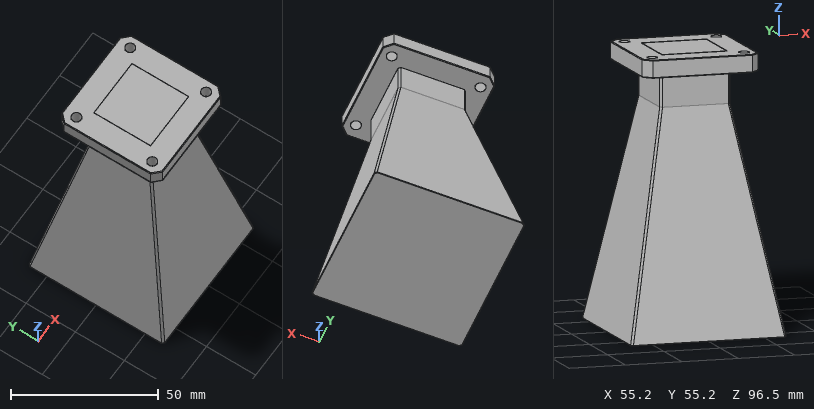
import cadquery as cq

total_height = 96.5
mouth_width = 55.2
mouth_bevel = 0.2
neck_width = 24.9
neck_base_z = 78.6
horn_corner = 0.8
flange_width = 41.1
flange_thickness = 6.3
flange_corner = 2.9
flange_edge_bevel = 0.3
hole_diameter = 3.7
hole_spacing_x = 32.6
hole_spacing_y = 30.9
window_width = 23.1
window_depth = 0.1

flange_base_z = total_height - flange_thickness


def clipped_square(width, corner):
    """Corner points of a centred square whose corners are cut at 45 degrees."""
    outer = width / 2
    inner = outer - corner
    return [
        (outer, -inner), (outer, inner), (inner, outer), (-inner, outer),
        (-outer, inner), (-outer, -inner), (-inner, -outer), (inner, -outer),
    ]


def tapered_section(base_z, base_width, top_z, top_width):
    """Join two clipped squares with flat sloping faces."""
    return (
        cq.Workplane("XY").workplane(offset=base_z)
        .polyline(clipped_square(base_width, horn_corner)).close()
        .workplane(offset=top_z - base_z)
        .polyline(clipped_square(top_width, horn_corner)).close()
        .loft(ruled=True)
    )


def make_horn():
    """Flared horn with a small bevel around its mouth."""
    bevel = tapered_section(0, mouth_width - 2 * mouth_bevel, mouth_bevel, mouth_width)
    flare = tapered_section(mouth_bevel, mouth_width, neck_base_z, neck_width)
    return bevel.union(flare)


def make_neck():
    """Straight square neck between the horn and the flange."""
    return (
        cq.Workplane("XY").workplane(offset=neck_base_z)
        .polyline(clipped_square(neck_width, horn_corner)).close()
        .extrude(flange_base_z - neck_base_z)
    )


def make_flange():
    """Bolting flange with bevelled rims, four through holes and a shallow window."""
    plate = (
        cq.Workplane("XY").workplane(offset=flange_base_z)
        .polyline(clipped_square(flange_width, flange_corner)).close()
        .extrude(flange_thickness)
        .faces("<Z or >Z").edges().chamfer(flange_edge_bevel)
    )
    holes = (
        cq.Workplane("XY").workplane(offset=flange_base_z)
        .rarray(hole_spacing_x, hole_spacing_y, 2, 2)
        .circle(hole_diameter / 2)
        .extrude(flange_thickness)
    )
    window = (
        cq.Workplane("XY").workplane(offset=total_height - window_depth)
        .rect(window_width, window_width)
        .extrude(window_depth)
    )
    return plate.cut(holes).cut(window)


result = make_horn().union(make_neck()).union(make_flange())